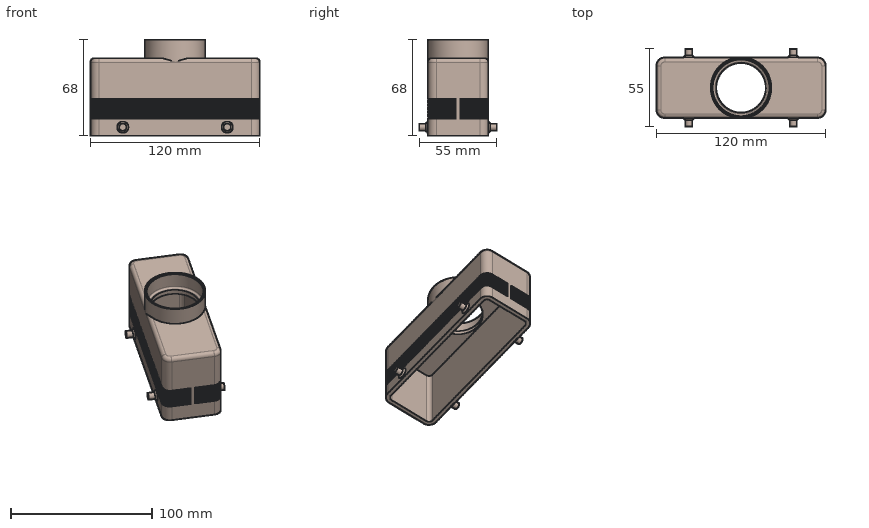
import cadquery as cq

length = 120.0
width = 43.0
height = 55.1
corner_radius = 6.0
top_fillet = 3.0
wall = 3.0

collar_top = 68.0
collar_radius = width / 2
bore_radius = 20.0
bore_depth = 12.4
bore_fillet = 1.5
rim_chamfer = 0.5
entry_radius = 17.5
entry_depth = 3.6

groove_count = 6
groove_pitch = 2.5
groove_height = 1.5
groove_slope = 45.0
groove_bottom = 12.2
groove_gap = 3.0

pin_offset = 37.0
pin_height = 6.1
pin_diameter = 5.2
pin_radius = pin_diameter / 2
pin_span = 55.0
cone_length = 1.5

bore_floor = collar_top - bore_depth
ceiling = bore_floor - entry_depth


def rounded_outline(base, inset=0.0):
    """Hood outline at height base, moved inward by inset."""
    outline = cq.Sketch().rect(length - 2 * inset, width - 2 * inset)
    outline = outline.vertices().fillet(corner_radius - inset)
    return cq.Workplane("XY").workplane(offset=base).placeSketch(outline)


def hood_block():
    return rounded_outline(0).extrude(height).faces(">Z").edges().fillet(top_fillet)


def groove(base):
    """One V groove around the hood, interrupted at the middle of both ends."""
    half = groove_height / 2
    middle = base + half
    lower_core = rounded_outline(base).extrude(half, taper=groove_slope)
    upper_core = lower_core.mirror("XY", (0, 0, middle))
    bridge = cq.Workplane("XY").box(length, groove_gap, groove_height).translate((0, 0, middle))
    ring = rounded_outline(base).extrude(groove_height)
    return ring.cut(lower_core).cut(upper_core).cut(bridge)


def collar():
    """Upright cylinder reaching down to the ceiling of the cavity."""
    return (
        cq.Workplane("YZ")
        .moveTo(0, ceiling)
        .lineTo(collar_radius, ceiling)
        .lineTo(collar_radius, collar_top)
        .lineTo(0, collar_top)
        .close()
        .revolve(360, (0, 0), (0, 1))
    )


def collar_bore():
    """Stepped hole: chamfered mouth, wide bore with a rounded floor edge, narrow entry."""
    return (
        cq.Workplane("YZ")
        .moveTo(0, ceiling)
        .lineTo(entry_radius, ceiling)
        .lineTo(entry_radius, bore_floor)
        .lineTo(bore_radius - bore_fillet, bore_floor)
        .radiusArc((bore_radius, bore_floor + bore_fillet), -bore_fillet)
        .lineTo(bore_radius, collar_top - rim_chamfer)
        .lineTo(bore_radius + rim_chamfer, collar_top)
        .lineTo(0, collar_top)
        .close()
        .revolve(360, (0, 0), (0, 1))
    )


def locking_pin(x, side):
    """Pin with a conical foot, pointing along +Y (side = 1) or -Y (side = -1)."""
    face = width / 2
    root = face - wall / 2
    profile = [
        (root, 0),
        (root, pin_radius + cone_length),
        (face, pin_radius + cone_length),
        (face + cone_length, pin_radius),
        (pin_span / 2, pin_radius),
        (pin_span / 2, 0),
    ]
    points = [(side * y, z) for y, z in profile]
    pin = cq.Workplane("YZ").polyline(points).close().revolve(360, (0, 0), (1, 0))
    return pin.translate((x, 0, pin_height))


hood = hood_block()
for index in range(groove_count):
    hood = hood.cut(groove(groove_bottom + index * groove_pitch))

cavity = rounded_outline(0, wall).extrude(ceiling)
result = hood.union(collar()).cut(cavity).cut(collar_bore())
for x in (-pin_offset, pin_offset):
    for side in (-1, 1):
        result = result.union(locking_pin(x, side))